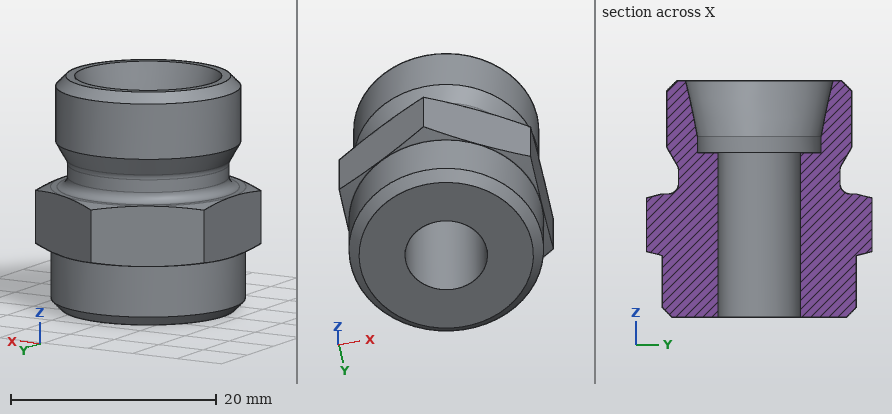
import cadquery as cq
import math

total_height = 23.0
hex_bottom = 6.0
hex_top = 12.0
head_bottom = 16.54
end_chamfer = 1.0

hex_across_flats = 19.0
weld_end_diameter = 18.9
groove_diameter = 15.7
head_diameter = 18.0
groove_fillet = 1.01
head_cone_fillet = 1.01
head_cone_angle = 30.0
hex_chamfer_angle = 15.0

through_diameter = 8.0
socket_diameter = 12.0
socket_depth = 7.0
mouth_diameter = 14.3
mouth_cone_angle = 12.0

weld_end_radius = weld_end_diameter / 2
groove_radius = groove_diameter / 2
head_radius = head_diameter / 2


def slope(angle):
    return math.tan(math.radians(angle))


def make_hexagon():
    """Hexagon with corners on Y, both ends turned down to a shallow cone."""
    flat_radius = hex_across_flats / 2
    corner_radius = flat_radius / math.cos(math.pi / 6)
    corner_drop = (corner_radius - flat_radius) * slope(hex_chamfer_angle)
    prism = (
        cq.Workplane("XY", origin=(0, 0, hex_bottom))
        .polygon(6, 2 * corner_radius)
        .extrude(hex_top - hex_bottom)
        .rotate((0, 0, 0), (0, 0, 1), 90)
    )
    turned_envelope = (
        cq.Workplane("XZ")
        .moveTo(0, hex_bottom)
        .lineTo(flat_radius, hex_bottom)
        .lineTo(corner_radius, hex_bottom + corner_drop)
        .lineTo(corner_radius, hex_top - corner_drop)
        .lineTo(flat_radius, hex_top)
        .lineTo(0, hex_top)
        .close()
        .revolve(360, (0, 0, 0), (0, 1, 0))
    )
    return prism.intersect(turned_envelope)


def make_turned_body():
    """Weld end, relief groove and threaded head as one turned profile."""
    cone_bottom = head_bottom - (head_radius - groove_radius) / slope(head_cone_angle)
    tangent_length = head_cone_fillet * slope(head_cone_angle / 2)
    fillet_start = cone_bottom - tangent_length
    cone_angle = math.radians(head_cone_angle)
    half_angle = cone_angle / 2
    fillet_center_x = groove_radius + head_cone_fillet
    fillet_middle = (
        fillet_center_x - head_cone_fillet * math.cos(half_angle),
        fillet_start + head_cone_fillet * math.sin(half_angle),
    )
    fillet_end = (
        fillet_center_x - head_cone_fillet * math.cos(cone_angle),
        fillet_start + head_cone_fillet * math.sin(cone_angle),
    )
    return (
        cq.Workplane("XZ")
        .lineTo(weld_end_radius - end_chamfer, 0)
        .lineTo(weld_end_radius, end_chamfer)
        .lineTo(weld_end_radius, hex_top)
        .lineTo(groove_radius + groove_fillet, hex_top)
        .radiusArc((groove_radius, hex_top + groove_fillet), groove_fillet)
        .lineTo(groove_radius, fillet_start)
        .threePointArc(fillet_middle, fillet_end)
        .lineTo(head_radius, head_bottom)
        .lineTo(head_radius, total_height - end_chamfer)
        .lineTo(head_radius - end_chamfer, total_height)
        .lineTo(0, total_height)
        .close()
        .revolve(360, (0, 0, 0), (0, 1, 0))
    )


def make_bore():
    """Through hole, flat-bottomed tube socket and tapered mouth."""
    through_radius = through_diameter / 2
    socket_radius = socket_diameter / 2
    mouth_radius = mouth_diameter / 2
    socket_floor = total_height - socket_depth
    cone_bottom = total_height - (mouth_radius - socket_radius) / slope(mouth_cone_angle)
    return (
        cq.Workplane("XZ")
        .lineTo(through_radius, 0)
        .lineTo(through_radius, socket_floor)
        .lineTo(socket_radius, socket_floor)
        .lineTo(socket_radius, cone_bottom)
        .lineTo(mouth_radius, total_height)
        .lineTo(0, total_height)
        .close()
        .revolve(360, (0, 0, 0), (0, 1, 0))
    )


result = make_turned_body().union(make_hexagon()).cut(make_bore())